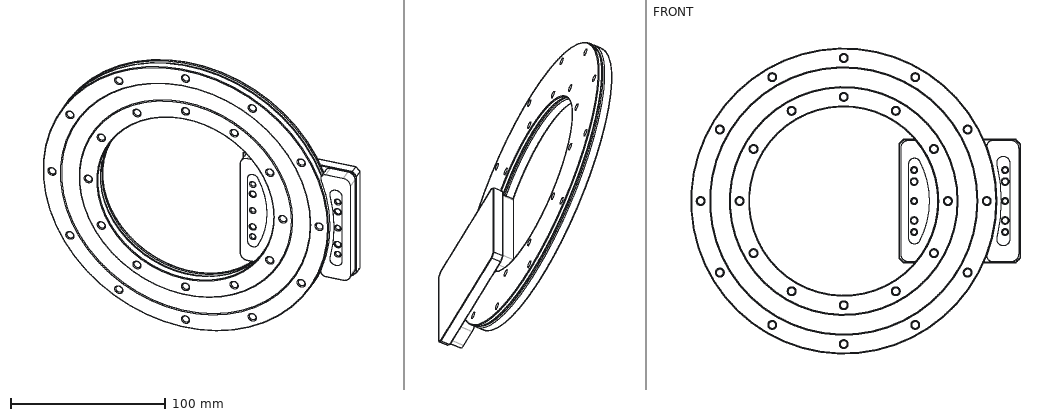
import cadquery as cq
import math


ring_outer_radius = 99.1
ring_inner_radius = 61.0
ring_thickness = 10.0
ring_edge_chamfer = 0.53

groove_center_y = 6.6
groove_width = 2.3
groove_floor_width = 0.9
groove_depth = 0.9

band_inner_radius = 73.5
band_outer_radius = 87.0
band_depth = 0.6
band_wall_slope = 0.6

mount_count = 12
mount_inner_circle_radius = 67.5
mount_outer_circle_radius = 92.7
mount_hole_diameter = 4.5
mount_mouth_diameter = 5.8

plate_left_x = 35.7
plate_right_x = 114.5
plate_height = 80.0
plate_thickness = 7.0
plate_gap = 0.9
plate_width = plate_right_x - plate_left_x
plate_center_x = (plate_left_x + plate_right_x) / 2
plate_front_y = ring_thickness + plate_gap
plate_corner = 3.0
plate_edge_chamfer = 0.5

block_left_inset = 1.3
block_right_inset = 1.0
block_end_inset = 0.9
block_clearance = 0.2
block_front_y = 2.5
block_half_height = plate_height / 2 - block_end_inset
block_left_x = plate_left_x + block_left_inset
block_right_x = plate_right_x - block_right_inset
block_corner_radius = 5.0
block_tip_radius = 3.5

pocket_depth = 0.1
inner_pocket_straight_x = 42.0
inner_pocket_arc_radius = 55.5
inner_pocket_half_height = 27.8
inner_pocket_corner_radius = 3.6
outer_pocket_straight_x = 107.7
outer_pocket_arc_radius = 102.0
outer_pocket_half_height = 28.8
outer_pocket_corner_radius = 4.0

screw_row_offset = 29.5
narrow_hole_heights = [-20.0, 0, 20.0]
narrow_hole_diameter = 3.2
narrow_mouth_diameter = 4.5
wide_hole_heights = [-12.5, 12.5]
wide_hole_diameter = 3.8
wide_mouth_diameter = 5.0
screw_hole_depth = 8.5


def countersunk_hole(x, y, z, hole_diameter, mouth_diameter, depth):
    """Cutter for a hole running from (x, y, z) along +Y, with a 45 degree mouth."""
    hole_radius = hole_diameter / 2
    mouth_radius = mouth_diameter / 2
    mouth_depth = mouth_radius - hole_radius
    profile = [
        (0, 0),
        (mouth_radius, 0),
        (hole_radius, mouth_depth),
        (hole_radius, depth),
        (0, depth),
    ]
    cutter = cq.Workplane("XY").polyline(profile).close().revolve(360, (0, 0), (0, 1))
    return cutter.translate((x, y, z))


def ring_profile():
    """Half section of the ring in the XY plane, X being the radius."""
    groove_front = groove_center_y - groove_width / 2
    groove_back = groove_center_y + groove_width / 2
    floor_front = groove_center_y - groove_floor_width / 2
    floor_back = groove_center_y + groove_floor_width / 2
    return [
        (ring_inner_radius + ring_edge_chamfer, 0),
        (band_inner_radius, 0),
        (band_inner_radius + band_wall_slope, band_depth),
        (band_outer_radius - band_wall_slope, band_depth),
        (band_outer_radius, 0),
        (ring_outer_radius - ring_edge_chamfer, 0),
        (ring_outer_radius, ring_edge_chamfer),
        (ring_outer_radius, groove_front),
        (ring_outer_radius - groove_depth, floor_front),
        (ring_outer_radius - groove_depth, floor_back),
        (ring_outer_radius, groove_back),
        (ring_outer_radius, ring_thickness - ring_edge_chamfer),
        (ring_outer_radius - ring_edge_chamfer, ring_thickness),
        (ring_inner_radius + ring_edge_chamfer, ring_thickness),
        (ring_inner_radius, ring_thickness - ring_edge_chamfer),
        (ring_inner_radius, groove_back),
        (ring_inner_radius + groove_depth, floor_back),
        (ring_inner_radius + groove_depth, floor_front),
        (ring_inner_radius, groove_front),
        (ring_inner_radius, ring_edge_chamfer),
    ]


def make_ring():
    """Guide ring with rim grooves, a recessed band and two circles of mounting holes."""
    ring = cq.Workplane("XY").polyline(ring_profile()).close().revolve(360, (0, 0), (0, 1))
    for circle_radius in (mount_inner_circle_radius, mount_outer_circle_radius):
        for index in range(mount_count):
            angle = 2 * math.pi * index / mount_count
            x = circle_radius * math.cos(angle)
            z = circle_radius * math.sin(angle)
            ring = ring.cut(
                countersunk_hole(x, 0, z, mount_hole_diameter, mount_mouth_diameter, ring_thickness)
            )
    return ring


def arc_sided_prism(straight_x, arc_radius, half_height, front_y, depth):
    """Prism along Y with a straight side facing a side that lies on a circle about the ring axis."""
    arc_end_x = math.sqrt(arc_radius**2 - half_height**2)
    return (
        cq.Workplane("XZ", origin=(0, front_y, 0))
        .moveTo(straight_x, half_height)
        .lineTo(arc_end_x, half_height)
        .threePointArc((arc_radius, 0), (arc_end_x, -half_height))
        .lineTo(straight_x, -half_height)
        .close()
        .extrude(-depth)
    )


def make_plate():
    """Back plate with cut corners and chamfered front and back edges."""
    return (
        cq.Workplane("XY")
        .box(plate_width, plate_thickness, plate_height)
        .translate((plate_center_x, plate_front_y + plate_thickness / 2, 0))
        .edges("|Y")
        .chamfer(plate_corner)
        .faces("<Y or >Y")
        .chamfer(plate_edge_chamfer)
    )


def make_inner_block():
    """Guide block inside the ring, with its pocket."""
    arc_radius = ring_inner_radius - block_clearance
    block = arc_sided_prism(
        block_left_x, arc_radius, block_half_height, block_front_y, plate_front_y - block_front_y
    )
    block = block.edges("|Y and <X").fillet(block_corner_radius)
    pocket = arc_sided_prism(
        inner_pocket_straight_x,
        inner_pocket_arc_radius,
        inner_pocket_half_height,
        block_front_y,
        pocket_depth,
    )
    return block.cut(pocket.edges("|Y").fillet(inner_pocket_corner_radius))


def make_outer_block():
    """Guide block outside the ring, with its pocket."""
    arc_radius = ring_outer_radius + block_clearance
    block = arc_sided_prism(
        block_right_x, arc_radius, block_half_height, block_front_y, plate_front_y - block_front_y
    )
    block = block.edges("|Y and >X").fillet(block_corner_radius)
    block = block.edges("|Y and <X").fillet(block_tip_radius)
    pocket = arc_sided_prism(
        outer_pocket_straight_x,
        outer_pocket_arc_radius,
        outer_pocket_half_height,
        block_front_y,
        pocket_depth,
    )
    return block.cut(pocket.edges("|Y").fillet(outer_pocket_corner_radius))


def make_carriage():
    """Carriage: a plate behind the ring carrying both guide blocks, with screw holes."""
    carriage = make_plate().union(make_inner_block()).union(make_outer_block())
    floor_y = block_front_y + pocket_depth
    for x in (plate_center_x - screw_row_offset, plate_center_x + screw_row_offset):
        for z in narrow_hole_heights:
            carriage = carriage.cut(
                countersunk_hole(x, floor_y, z, narrow_hole_diameter, narrow_mouth_diameter, screw_hole_depth)
            )
        for z in wide_hole_heights:
            carriage = carriage.cut(
                countersunk_hole(x, floor_y, z, wide_hole_diameter, wide_mouth_diameter, screw_hole_depth)
            )
    return carriage


ring = make_ring()
carriage = make_carriage()
result = cq.Compound.makeCompound([ring.val(), carriage.val()])